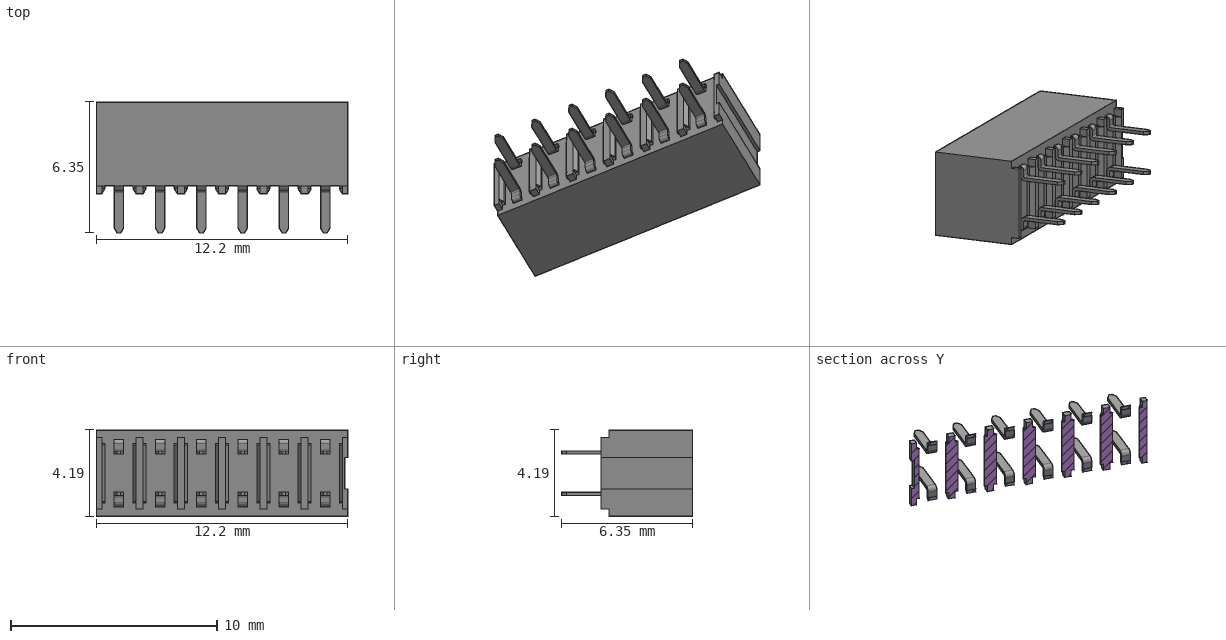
import cadquery as cq
import math

body_length = 12.19
body_depth = 4.06
body_height = 4.19

pitch = 2.0
pins_per_row = 6
pin_reach = 2.29
pin_width = 0.46
pin_thickness = 0.16
pin_tip_width = 0.17
pin_tip_length = 0.25
pin_center_z = 1.0
pin_entry_top_z = 1.63
pin_upright_front = 0.24
pin_entry_radius = 0.20
pin_exit_inner_radius = 0.07
pin_embedment = 0.2

rib_count = pins_per_row + 1
rib_depth = 0.38
rib_width = 0.34
rib_height = 3.48
shoulder_width = 0.64
shoulder_base_height = 2.87
shoulder_top_height = 2.74
shoulder_step = 0.13

notch_depth = 0.15
notch_height = 1.52


def centered_row(count):
    """X positions of evenly pitched items, symmetric about X = 0."""
    return [(i - (count - 1) / 2) * pitch for i in range(count)]


def make_box(width, y_min, y_max, height):
    """Box centred on X and Z, spanning y_min to y_max."""
    return cq.Workplane("XY").box(width, y_max - y_min, height).translate((0, (y_min + y_max) / 2, 0))


def make_rib():
    """Tall narrow bar with a shorter shoulder on each side that slopes up to its crest."""
    bar = make_box(rib_width, -rib_depth, 0, rib_height)

    shoulder = (
        cq.Workplane("XY")
        .moveTo(-shoulder_width / 2, 0)
        .lineTo(-shoulder_width / 2, -shoulder_step)
        .lineTo(-rib_width / 2, -rib_depth)
        .lineTo(rib_width / 2, -rib_depth)
        .lineTo(shoulder_width / 2, -shoulder_step)
        .lineTo(shoulder_width / 2, 0)
        .close()
        .extrude(shoulder_base_height / 2, both=True)
    )

    end_limits = (
        cq.Workplane("YZ")
        .moveTo(0, -shoulder_base_height / 2)
        .lineTo(0, shoulder_base_height / 2)
        .lineTo(-shoulder_step, shoulder_top_height / 2)
        .lineTo(-rib_depth, shoulder_top_height / 2)
        .lineTo(-rib_depth, -shoulder_top_height / 2)
        .lineTo(-shoulder_step, -shoulder_top_height / 2)
        .close()
        .extrude(shoulder_width / 2, both=True)
    )
    return bar.union(shoulder.intersect(end_limits))


def make_pin():
    """Upper-row pin: leaves the housing, bends towards Z = 0, then bends out to its tip."""
    diagonal = math.sqrt(0.5)
    front_y = -pin_upright_front
    back_y = front_y + pin_thickness
    top_z = pin_center_z + pin_thickness / 2
    bottom_z = pin_center_z - pin_thickness / 2
    entry_bottom_z = pin_entry_top_z - pin_thickness

    entry_inner_radius = pin_entry_radius - pin_thickness
    entry_center_y = front_y + pin_entry_radius
    entry_center_z = pin_entry_top_z - pin_entry_radius
    exit_outer_radius = pin_exit_inner_radius + pin_thickness
    exit_center_y = front_y - pin_exit_inner_radius
    exit_center_z = top_z + pin_exit_inner_radius

    def entry_mid(radius):
        return (entry_center_y - radius * diagonal, entry_center_z + radius * diagonal)

    def exit_mid(radius):
        return (exit_center_y + radius * diagonal, exit_center_z - radius * diagonal)

    bent_strip = (
        cq.Workplane("YZ")
        .moveTo(pin_embedment, pin_entry_top_z)
        .lineTo(entry_center_y, pin_entry_top_z)
        .threePointArc(entry_mid(pin_entry_radius), (front_y, entry_center_z))
        .lineTo(front_y, exit_center_z)
        .threePointArc(exit_mid(pin_exit_inner_radius), (exit_center_y, top_z))
        .lineTo(-pin_reach, top_z)
        .lineTo(-pin_reach, bottom_z)
        .lineTo(exit_center_y, bottom_z)
        .threePointArc(exit_mid(exit_outer_radius), (back_y, exit_center_z))
        .lineTo(back_y, entry_center_z)
        .threePointArc(entry_mid(entry_inner_radius), (entry_center_y, entry_bottom_z))
        .lineTo(pin_embedment, entry_bottom_z)
        .close()
        .extrude(pin_width / 2, both=True)
    )

    tip_start_y = -pin_reach + pin_tip_length
    tapered_outline = (
        cq.Workplane("XY")
        .moveTo(-pin_width / 2, pin_embedment)
        .lineTo(-pin_width / 2, tip_start_y)
        .lineTo(-pin_tip_width / 2, -pin_reach)
        .lineTo(pin_tip_width / 2, -pin_reach)
        .lineTo(pin_width / 2, tip_start_y)
        .lineTo(pin_width / 2, pin_embedment)
        .close()
        .extrude(body_height / 2)
    )
    return bent_strip.intersect(tapered_outline)


def make_housing():
    """Block with its ribs; the outermost ribs are cut flush with the block ends."""
    housing = make_box(body_length, 0, body_depth, body_height)
    end_limits = make_box(body_length, -rib_depth, body_depth, body_height)
    rib = make_rib()
    for x in centered_row(rib_count):
        housing = housing.union(rib.translate((x, 0, 0)).intersect(end_limits))

    notch = make_box(2 * notch_depth, -rib_depth, body_depth, notch_height)
    return housing.cut(notch.translate((body_length / 2, 0, 0)))


result = make_housing()
upper_pin = make_pin()
lower_pin = upper_pin.mirror("XY")
for pin_x in centered_row(pins_per_row):
    for pin in (upper_pin, lower_pin):
        result = result.union(pin.translate((pin_x, 0, 0)))